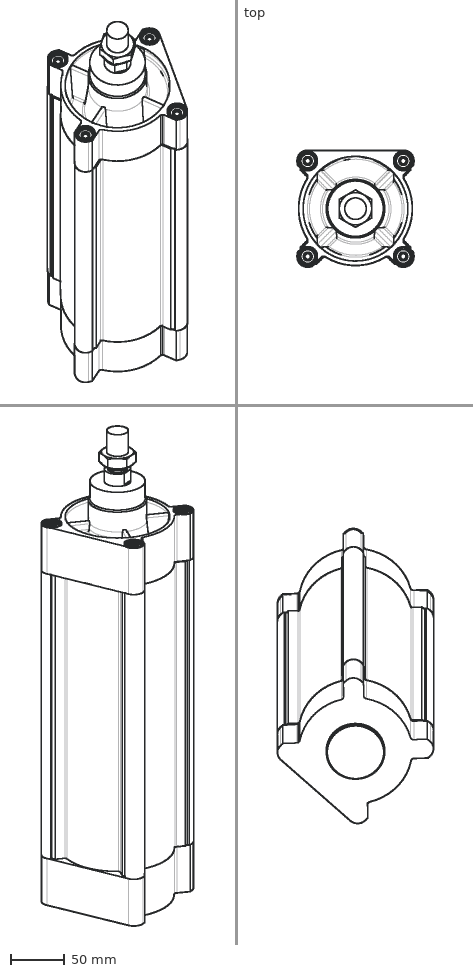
import cadquery as cq
import math

TOTAL_HEIGHT = 481.5
SPIGOT_HEIGHT = 4.0
CAP_HEIGHT = 48.0
NECK_TOP = 429.5
NECK_STEP = 411.0
CAP_TOP = 393.0
REAR_CAP_TOP = SPIGOT_HEIGHT + CAP_HEIGHT
FRONT_CAP_BOTTOM = CAP_TOP - CAP_HEIGHT

HALF_WIDTH = 55.0
BARREL_RADIUS = 53.5
CHANNEL_RADIUS = 10.0
BOLT_OFFSET = HALF_WIDTH - CHANNEL_RADIUS
WEB_SLANT = 15.5
WEB_REACH = 52.0
CHANNEL_STEP = 40.5
BARREL_ROOT_FILLET = 2.0
QUARTER_TURNS = (0, 90, 180, 270)
PORT_SIDE_ANGLE = 90
ROOT_TOLERANCE = 0.05

SEAM_STEP = 0.25
CAP_RADIUS = BARREL_RADIUS - SEAM_STEP
CAP_HALF_WIDTH = HALF_WIDTH - SEAM_STEP
CAP_LUG_SLANT = 13.5
CAP_ROOT_FILLET = 3.0
PORT_SIDE_BOTTOM = 24.0

BOLT_STEPS = ((18.5, 1.0), (16.0, 2.0), (13.0, 3.0), (8.0, 4.0), (5.5, 5.0))

RECESS_RADIUS = 49.0
POCKET_DEPTH = 41.0
PORT_POCKET_DEPTH = 10.5
POCKET_DRAFT = 6.0
POCKET_FILLET = 2.0
RIB_CREST_RADIUS = 2.0
RIB_DROP = 1.5

NECK_RADIUS = 27.5
NECK_TIP_RADIUS = 26.0
SPIGOT_CHAMFER = 1.0

ROD_RADIUS = 12.5
THREAD_RADIUS = 10.0
UNDERCUT_RADIUS = 9.0
ROD_SHOULDER = 442.0
UNDERCUT_HEIGHT = 2.5
ROD_FLATS_WIDTH = 22.0
ROD_FLATS_BOTTOM = NECK_TOP + 1.0

NUT_BOTTOM = 448.8
NUT_HEIGHT = 10.5
NUT_FLATS_WIDTH = 30.5
NUT_BEVEL_HEIGHT = 1.0


def cylinder(radius, bottom, top):
    return cq.Workplane("XY").workplane(offset=bottom).circle(radius).extrude(top - bottom)


def about_axis(shape, angle):
    return shape.rotate((0, 0, 0), (0, 0, 1), angle)


def fillet_lug_roots(body, body_radius, fillet_radius):
    """Round the inner corners where the lugs leave the cylinder of the given radius."""
    roots = [
        edge for edge in body.edges("|Z").vals()
        if abs(math.hypot(edge.Center().x, edge.Center().y) - body_radius) < ROOT_TOLERANCE
    ]
    return body.newObject(roots).fillet(fillet_radius)


def barrel_lug():
    """Lug towards +X +Y: a round rod channel, stepped down to a diagonal web."""
    step_rise = math.sqrt(CHANNEL_RADIUS**2 - (BOLT_OFFSET - CHANNEL_STEP) ** 2)
    step_top = BOLT_OFFSET + step_rise
    arc_middle = BOLT_OFFSET + CHANNEL_RADIUS * math.sqrt(0.5)
    web_corner = WEB_REACH - WEB_SLANT
    return (
        cq.Workplane("XY").workplane(offset=REAR_CAP_TOP)
        .moveTo(WEB_SLANT, 0)
        .lineTo(WEB_REACH, web_corner)
        .lineTo(WEB_REACH, CHANNEL_STEP)
        .lineTo(step_top, CHANNEL_STEP)
        .threePointArc((arc_middle, arc_middle), (CHANNEL_STEP, step_top))
        .lineTo(CHANNEL_STEP, WEB_REACH)
        .lineTo(web_corner, WEB_REACH)
        .lineTo(0, WEB_SLANT)
        .close()
        .extrude(FRONT_CAP_BOTTOM - REAR_CAP_TOP)
    )


def barrel():
    tube = cylinder(BARREL_RADIUS, REAR_CAP_TOP, FRONT_CAP_BOTTOM)
    for angle in QUARTER_TURNS:
        tube = tube.union(about_axis(barrel_lug(), angle))
    return fillet_lug_roots(tube, BARREL_RADIUS, BARREL_ROOT_FILLET)


def cap_lug(bottom):
    """Lug towards +X +Y: a diagonal bar with two flats and a rounded corner."""
    arc_middle = BOLT_OFFSET + (CAP_HALF_WIDTH - BOLT_OFFSET) * math.sqrt(0.5)
    flat_start = CAP_HALF_WIDTH - CAP_LUG_SLANT
    return (
        cq.Workplane("XY").workplane(offset=bottom)
        .moveTo(CAP_LUG_SLANT, 0)
        .lineTo(CAP_HALF_WIDTH, flat_start)
        .lineTo(CAP_HALF_WIDTH, BOLT_OFFSET)
        .threePointArc((arc_middle, arc_middle), (BOLT_OFFSET, CAP_HALF_WIDTH))
        .lineTo(flat_start, CAP_HALF_WIDTH)
        .lineTo(0, CAP_LUG_SLANT)
        .close()
        .extrude(CAP_HEIGHT)
    )


def end_cap(bottom):
    """Round cap with four corner lugs and a flat port side towards +Y."""
    cap = cylinder(CAP_RADIUS, bottom, bottom + CAP_HEIGHT)
    for angle in QUARTER_TURNS:
        cap = cap.union(about_axis(cap_lug(bottom), angle))
    cap = fillet_lug_roots(cap, CAP_RADIUS, CAP_ROOT_FILLET)
    port_side = cq.Workplane("XY").box(
        2 * BOLT_OFFSET, CAP_HALF_WIDTH - PORT_SIDE_BOTTOM, CAP_HEIGHT, centered=(True, False, False)
    )
    return cap.union(port_side.translate((0, PORT_SIDE_BOTTOM, bottom)))


def pocket_sector(top, depth):
    """Quarter pocket towards +X between two diagonal ribs, narrowing downwards."""
    def corner(radius, side):
        angle = side * (math.pi / 4 - math.asin(RIB_CREST_RADIUS / radius))
        return (radius * math.cos(angle), radius * math.sin(angle))

    return (
        cq.Workplane("XY").workplane(offset=top)
        .moveTo(*corner(NECK_RADIUS, -1))
        .lineTo(*corner(RECESS_RADIUS, -1))
        .threePointArc((RECESS_RADIUS, 0), corner(RECESS_RADIUS, 1))
        .lineTo(*corner(NECK_RADIUS, 1))
        .threePointArc((NECK_RADIUS, 0), corner(NECK_RADIUS, -1))
        .close()
        .extrude(-depth, taper=POCKET_DRAFT)
        .faces("<Z").edges().fillet(POCKET_FILLET)
    )


def recess():
    """Ring-shaped recess around the neck, split below by four round-crested diagonal ribs."""
    crest_axis = CAP_TOP - RIB_DROP - RIB_CREST_RADIUS
    ring = cylinder(RECESS_RADIUS, crest_axis, CAP_TOP).cut(cylinder(NECK_RADIUS, crest_axis, CAP_TOP))
    crest = cq.Workplane("YZ").center(0, crest_axis).circle(RIB_CREST_RADIUS).extrude(RECESS_RADIUS)
    for angle in QUARTER_TURNS:
        ring = ring.cut(about_axis(crest, 45 + angle))
    for angle in QUARTER_TURNS:
        floor_depth = PORT_POCKET_DEPTH if angle == PORT_SIDE_ANGLE else POCKET_DEPTH
        sector = pocket_sector(crest_axis, floor_depth - (CAP_TOP - crest_axis))
        ring = ring.union(about_axis(sector, angle))
    return ring


def bolt_recess():
    """Stepped bolt seat at the +X +Y corner of the front cap."""
    seat = cq.Workplane("XY")
    for diameter, depth in BOLT_STEPS:
        seat = seat.union(cylinder(diameter / 2, CAP_TOP - depth, CAP_TOP))
    return seat.translate((BOLT_OFFSET, BOLT_OFFSET, 0))


def make_housing():
    spigot = cylinder(NECK_RADIUS, 0, SPIGOT_HEIGHT).faces("<Z").chamfer(SPIGOT_CHAMFER)
    front_cap = end_cap(FRONT_CAP_BOTTOM).cut(recess())
    for angle in QUARTER_TURNS:
        front_cap = front_cap.cut(about_axis(bolt_recess(), angle))
    neck = cylinder(NECK_RADIUS, CAP_TOP, NECK_STEP)
    neck = neck.faces(">Z").chamfer(NECK_RADIUS - NECK_TIP_RADIUS)
    neck_tip = cylinder(NECK_TIP_RADIUS, NECK_STEP, NECK_TOP)
    rod_bore = cylinder(ROD_RADIUS, FRONT_CAP_BOTTOM, NECK_TOP)
    return (
        spigot.union(end_cap(SPIGOT_HEIGHT)).union(barrel()).union(front_cap)
        .union(neck).union(neck_tip).cut(rod_bore)
    )


def make_rod():
    undercut_top = ROD_SHOULDER + UNDERCUT_HEIGHT
    shank = cylinder(ROD_RADIUS, FRONT_CAP_BOTTOM, ROD_SHOULDER)
    undercut = cylinder(UNDERCUT_RADIUS, ROD_SHOULDER, undercut_top)
    thread = cylinder(THREAD_RADIUS, undercut_top, TOTAL_HEIGHT)
    flats_height = ROD_SHOULDER - ROD_FLATS_BOTTOM
    between_flats = (
        cq.Workplane("XY").workplane(offset=ROD_FLATS_BOTTOM)
        .rect(ROD_FLATS_WIDTH, 2 * ROD_RADIUS)
        .extrude(flats_height)
    )
    flats_cut = cylinder(2 * ROD_RADIUS, ROD_FLATS_BOTTOM, ROD_SHOULDER).cut(between_flats)
    return shank.cut(flats_cut).union(undercut).union(thread)


def make_nut():
    """Hexagon nut with flats facing +X and -X and bevelled corners."""
    nut_top = NUT_BOTTOM + NUT_HEIGHT
    corner_radius = NUT_FLATS_WIDTH / math.sqrt(3)
    face_radius = NUT_FLATS_WIDTH / 2
    hexagon = cq.Workplane("XY").workplane(offset=NUT_BOTTOM).polygon(6, 2 * corner_radius).extrude(NUT_HEIGHT)
    hexagon = about_axis(hexagon, 30)
    bevel_profile = [
        (0, NUT_BOTTOM),
        (face_radius, NUT_BOTTOM),
        (corner_radius, NUT_BOTTOM + NUT_BEVEL_HEIGHT),
        (corner_radius, nut_top - NUT_BEVEL_HEIGHT),
        (face_radius, nut_top),
        (0, nut_top),
    ]
    bevel = cq.Workplane("XZ").polyline(bevel_profile).close().revolve(360, (0, 0), (0, 1))
    return hexagon.intersect(bevel).cut(cylinder(THREAD_RADIUS, NUT_BOTTOM, nut_top))


housing = make_housing()
rod = make_rod()
nut = make_nut()

result = cq.Compound.makeCompound([housing.val(), rod.val(), nut.val()])